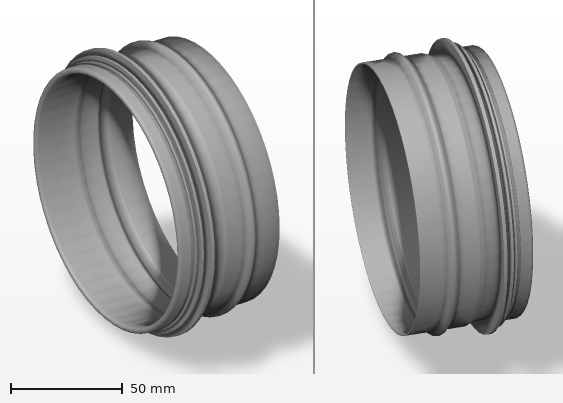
import cadquery as cq
import math

total_length = 53.0
wall = 0.5
body_radius = 124.1 / 2

bead_center = 37.6
bead_sharp_height = 3.1
bead_crest_bend = 1.7
bead_foot_bend = 1.1

step_rear = 25.0
step_front = 21.6
step_bend = 1.9
neck_radius = 60.6
waist_radius = 120.5 / 2
waist_position = 10.4

bore_radius = 118.3 / 2
hem_length = 6.0
nose_radius = (body_radius - bore_radius) / 2
nose_center_radius = bore_radius + nose_radius
hem_inner_radius = body_radius - wall

flange_radius = 67.2
flange_front = 13.7
flange_rear = 15.3
large_lip_radius = 129.5 / 2
large_lip_front = 10.1
large_lip_rear = 11.2
large_lip_root_flare = 0.5
small_lip_radius = 62.8
small_lip_front = 7.9
small_lip_rear = 8.7

wall_corners = [
    (body_radius, total_length, 0),
    (body_radius, bead_center + bead_sharp_height, bead_foot_bend),
    (body_radius + bead_sharp_height, bead_center, bead_crest_bend),
    (body_radius, bead_center - bead_sharp_height, bead_foot_bend),
    (body_radius, step_rear, step_bend),
    (neck_radius, step_front, step_bend),
    (waist_radius, waist_position, 0),
    (bore_radius + wall, nose_radius, 0),
]


def direction(start, end):
    """Unit vector from one wall corner to the next."""
    length = math.dist(start[:2], end[:2])
    return (end[0] - start[0]) / length, (end[1] - start[1]) / length


def bend_points(before, corner, after, depth):
    """Start, middle and end of a bend, or one point for a sharp corner, at a depth below the outer skin."""
    r, y, bend = corner
    in_r, in_y = direction(before, corner)
    out_r, out_y = direction(corner, after)
    cosine = in_r * out_r + in_y * out_y
    shift = depth / (1 + cosine)
    r += shift * (in_y + out_y)
    y -= shift * (in_r + out_r)
    if bend == 0:
        return [(r, y)]
    turn = in_r * out_y - in_y * out_r
    radius = bend + math.copysign(depth, turn)
    half_angle = math.acos(cosine) / 2
    tangent = radius * math.tan(half_angle)
    middle = radius * (1 / math.cos(half_angle) - 1) / (2 * math.sin(half_angle))
    return [
        (r - tangent * in_r, y - tangent * in_y),
        (r + middle * (out_r - in_r), y + middle * (out_y - in_y)),
        (r + tangent * out_r, y + tangent * out_y),
    ]


def skin_stretches(depth):
    """Pieces of one wall skin from rear to nose, each a sharp corner or a bend."""
    first = wall_corners[0]
    last = wall_corners[-1]
    stretches = [[(first[0] - depth, first[1])]]
    for before, corner, after in zip(wall_corners, wall_corners[1:], wall_corners[2:]):
        stretches.append(bend_points(before, corner, after, depth))
    stretches.append([(last[0] - depth, last[1])])
    return stretches


def draw_stretches(outline, stretches):
    """Continue an outline with a line to each stretch and an arc through each bend."""
    for points in stretches:
        outline = outline.lineTo(*points[0])
        if len(points) > 1:
            outline = outline.threePointArc(*points[1:])
    return outline


def revolve_about_y(outline):
    return outline.close().revolve(360, (0, 0, 0), (0, 1, 0))


def make_collar():
    outer_skin = skin_stretches(0)
    inner_skin = skin_stretches(wall)
    outline = cq.Workplane("XY").moveTo(*outer_skin[0][0])
    outline = draw_stretches(outline, outer_skin[1:])
    outline = outline.threePointArc((nose_center_radius, wall), (hem_inner_radius, nose_radius))
    outline = outline.lineTo(hem_inner_radius, hem_length).lineTo(body_radius, hem_length)
    outline = outline.lineTo(body_radius, nose_radius)
    outline = outline.threePointArc((nose_center_radius, 0), (bore_radius, nose_radius))
    outline = draw_stretches(outline, [points[::-1] for points in inner_skin[-2::-1]])
    return revolve_about_y(outline)


def make_gasket():
    neck_slope = (neck_radius - waist_radius) / (step_front - waist_position)
    rear_bore_radius = waist_radius + neck_slope * (flange_rear - waist_position)
    outline = cq.Workplane("XY").moveTo(rear_bore_radius, flange_rear)
    outline = outline.lineTo(waist_radius, waist_position)
    outline = outline.lineTo(bore_radius + wall, nose_radius)
    outline = outline.lineTo(hem_inner_radius, nose_radius)
    outline = outline.lineTo(hem_inner_radius, small_lip_front).lineTo(small_lip_radius, small_lip_front)
    outline = outline.lineTo(small_lip_radius, small_lip_rear).lineTo(hem_inner_radius, small_lip_rear)
    outline = outline.lineTo(hem_inner_radius, large_lip_front - large_lip_root_flare)
    outline = outline.lineTo(hem_inner_radius + large_lip_root_flare, large_lip_front)
    outline = outline.lineTo(large_lip_radius, large_lip_front).lineTo(large_lip_radius, large_lip_rear)
    outline = outline.lineTo(hem_inner_radius, large_lip_rear)
    outline = outline.lineTo(hem_inner_radius, flange_front)
    outline = outline.lineTo(flange_radius, flange_front).lineTo(flange_radius, flange_rear)
    return revolve_about_y(outline)


collar = make_collar()
gasket = make_gasket()
result = cq.Compound.makeCompound([collar.val(), gasket.val()])